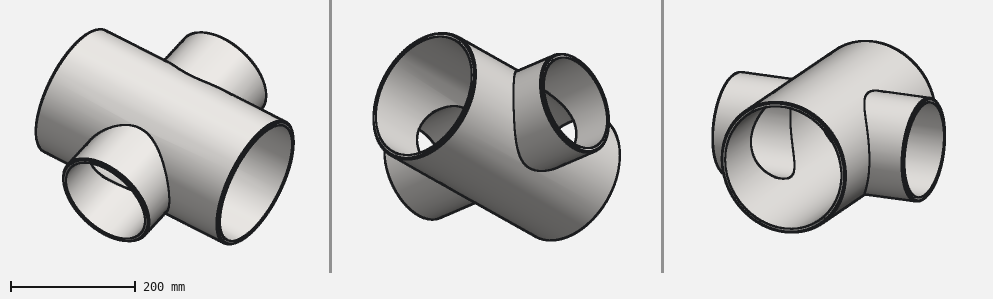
import cadquery as cq

run_length = 355.5
run_diameter = 219.0

branch_span = 336.5
branch_diameter = 168.2

wall = 7.0
bevel = 2.0


def bevelled_bar(plane, length, diameter):
    """Round bar centred on the origin, with a 45 degree bevel at both ends."""
    bar = cq.Workplane(plane).circle(diameter / 2).extrude(length / 2, both=True)
    return bar.edges("%CIRCLE").chamfer(bevel)


def bore(plane, length, diameter):
    """Through bore that leaves the pipe wall."""
    return cq.Workplane(plane).circle(diameter / 2 - wall).extrude(length / 2, both=True)


run = bevelled_bar("YZ", run_length, run_diameter)
branches = bevelled_bar("XZ", branch_span, branch_diameter)
run_bore = bore("YZ", run_length, run_diameter)
branch_bore = bore("XZ", branch_span, branch_diameter)

result = run.union(branches).cut(run_bore).cut(branch_bore)